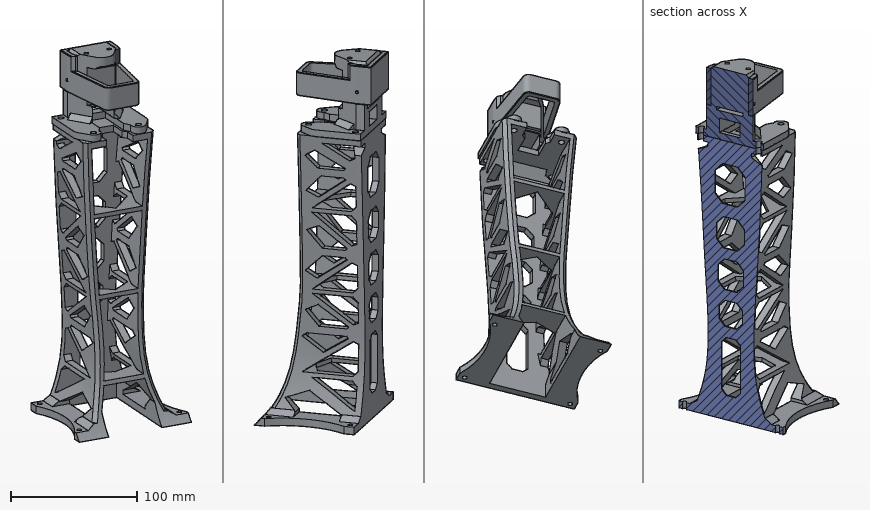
import cadquery as cq
import math


TOWER_TOP = 238.7
TOWER_FRONT = 54.0
FRONT_CURVE_TOP = 155.8
TOE_FRONT = 83.3
LEAN = 1.2
TOP_HALF = 31.5
WAIST_HEIGHT = 66.0
SIDE_CURVE = ((27.5, 25.5), (24.3, 39.8), (22.2, WAIST_HEIGHT), (22.8, 92.3), (24.5, 119.8), (28.2, 179.7))
FLOOR_HALF = 37.5
FOOT_HALF = 33.0
FOOT_HEIGHT = 10.2
RAMP_HALF = 39.2
SIDE_WALL = 6.5
REAR_WALL = 5.5
TOP_WALL = 5.5
CORNER_CHAMFER = 3.0
GUSSET_FRONT = 12.5
GUSSET_BOTTOM = 225.5
ARCH_HALF = 23.7
ARCH_HEIGHT = 17.5

BASE_THICKNESS = 6.3
BASE_HALF = 50.0
BASE_WAIST_HALF = 41.0
BASE_ARC_REAR = 8.5
BASE_ARC_FRONT = 74.5
FOOT_HOLE_RADIUS = 1.8
FOOT_HOLE_X = (4.8, 72.8)
FOOT_HOLE_Y = 44.5

WEB_BOTTOMS = (36.2, 105.5, 174.0)
WEB_THICKNESS = 3.5
WEB_NOTCH_TIP = 48.2
WEB_NOTCH_SLOPES = (0.4, 0.7, 1.0)
TOP_SLOT_HALF = 8.7
TOP_SLOT_REAR = 26.0
TOP_SLOT_FLARE_X = 41.3
TOP_SLOT_FLARE = 3.0

PLATE_THICKNESS = 5.7
PLATE_TOP = TOWER_TOP + PLATE_THICKNESS
PLATE_HALF = 32.6
PLATE_CORNER_X = 36.8
PLATE_ARM_HALF = 10.8
PLATE_GAP_REAR = 8.5
PLATE_SCREW_RADIUS = 2.5
REAR_SCREW = (5.7, 27.5)
FRONT_SCREW = (47.3, 20.0)
EAR_RADIUS = 6.0
POST_HALF = 22.5
POST_TURN_X = 7.2
POST_FRONT = 21.5
HEEL_FRONT = 25.8
HEEL_TOP = 257.5
SKIRT_START = 2.7
SKIRT_HEIGHT = 4.2
SKIRT_REACH = 4.8
WINDOW_HALF = 9.5
WINDOW_TOP = 256.5
SLOT_HALF = 12.3
SLOT_BOTTOM = 263.3
SLOT_RECESS_HALF = 14.7
SLOT_RECESS_BOTTOM = 260.3
SLOT_RECESS_DEPTH = 3.0
CAP_TOP = 299.5
CAP_THICKNESS = 10.2
CAP_TIP_THICKNESS = 7.8
CAP_BEVEL_REAR = 27.3
CAP_BEVEL_FRONT = 30.3
CAP_NOSE_FRONT = 31.8
CAP_NOSE_HALF = 9.3
CAP_NOSE_X = 26.0
CAP_CHAMFER = 2.5
SCREW_RADIUS = 1.8
CAP_SCREW = (16.2, 10.2)
CAP_SCREW_DEPTH = 6.0

COLLAR_REAR = -5.5
COLLAR_FRONT = 60.2
COLLAR_HALF = POST_HALF
COLLAR_TAPER_X = POST_TURN_X
COLLAR_END_HALF = 15.0
COLLAR_CORNER = 4.8
COLLAR_WALL = 4.2
COLLAR_BOTTOM = 265.7
LOOP_TOP = 285.2
COLLAR_TOP = 297.5
COLLAR_BOX_FRONT = 14.7
COLLAR_CHAMFER = 0.5
BOX_END_CHAMFER = 2.5
PIN_X = 6.3
PIN_Z = 275.5
PIN_RADIUS = 1.2

FAR = 179.7


def lean_at(z):
    """Sideways shift of the tower's centre line at height z."""
    return LEAN * max(0, z - WAIST_HEIGHT) / (TOWER_TOP - WAIST_HEIGHT)


def box(x0, x1, y0, y1, z0, z1):
    return cq.Workplane("XY").box(x1 - x0, y1 - y0, z1 - z0, centered=False).translate((x0, y0, z0))


def octagon(half, low, high):
    """Points of a rectangle with clipped corners, centred on 0 across."""
    clip = half / 2
    return [
        (half, low + clip), (half, high - clip), (half - clip, high), (clip - half, high),
        (-half, high - clip), (-half, low + clip), (clip - half, low), (half - clip, low),
    ]


def waisted_body(bottom_points, inset, top):
    """Waisted outline, `inset` inside the outer sides, extruded along X.

    `bottom_points` are (half width, height) pairs from the floor up to where the curve starts.
    """
    top_half = TOP_HALF - inset

    def side(sign):
        curve = [(sign * (half - inset), z) for half, z in SIDE_CURVE]
        low = [(sign * half, z) for half, z in bottom_points]
        return low, curve, (LEAN + sign * top_half, top)

    low, curve, corner = side(1)
    outline = cq.Workplane("YZ").polyline(low) if len(low) > 1 else cq.Workplane("YZ").moveTo(*low[0])
    outline = outline.spline(curve + [corner], includeCurrent=True)
    low, curve, corner = side(-1)
    outline = outline.lineTo(*corner).spline(curve[::-1] + [low[-1]], includeCurrent=True)
    for point in low[-2::-1]:
        outline = outline.lineTo(*point)
    return outline.close().extrude(FAR)


def front_envelope():
    """Everything behind the flared front surface."""
    return (
        cq.Workplane("XZ").moveTo(0, 0).lineTo(TOE_FRONT, 0)
        .spline([(67.7, 25.5), (60.8, 52.7), (56.3, 88.7), (TOWER_FRONT, FRONT_CURVE_TOP)],
                tangents=[(-1, 1), (0, 1)], includeCurrent=True)
        .lineTo(TOWER_FRONT, TOWER_TOP).lineTo(0, TOWER_TOP).close()
        .extrude(FAR / 2, both=True)
    )


def base_slab():
    middle = (BASE_ARC_REAR + BASE_ARC_FRONT) / 2
    return (
        cq.Workplane("XY").moveTo(0, -BASE_HALF).lineTo(BASE_ARC_REAR, -BASE_HALF)
        .threePointArc((middle, -BASE_WAIST_HALF), (BASE_ARC_FRONT, -BASE_HALF))
        .lineTo(FAR, -BASE_HALF).lineTo(FAR, BASE_HALF).lineTo(BASE_ARC_FRONT, BASE_HALF)
        .threePointArc((middle, BASE_WAIST_HALF), (BASE_ARC_REAR, BASE_HALF))
        .lineTo(0, BASE_HALF).close()
        .extrude(BASE_THICKNESS)
    )


def foot_ramps():
    """Sloped strips that widen the tower where it meets the base."""
    return (
        cq.Workplane("YZ")
        .polyline([
            (-RAMP_HALF, 0), (RAMP_HALF, 0), (RAMP_HALF, BASE_THICKNESS), (FOOT_HALF, FOOT_HEIGHT),
            (-FOOT_HALF, FOOT_HEIGHT), (-RAMP_HALF, BASE_THICKNESS),
        ])
        .close().extrude(FAR)
    )


def top_slot():
    """Slot through the top, open to the front and wider at its mouth."""
    mouth = TOP_SLOT_HALF + TOP_SLOT_FLARE
    flare_end = TOP_SLOT_FLARE_X + TOP_SLOT_FLARE
    return (
        cq.Workplane("XY", origin=(0, LEAN, TOWER_TOP - TOP_WALL))
        .polyline([
            (TOP_SLOT_REAR, -TOP_SLOT_HALF), (TOP_SLOT_FLARE_X, -TOP_SLOT_HALF), (flare_end, -mouth),
            (FAR, -mouth), (FAR, mouth), (flare_end, mouth), (TOP_SLOT_FLARE_X, TOP_SLOT_HALF),
            (TOP_SLOT_REAR, TOP_SLOT_HALF),
        ])
        .close().extrude(TOP_WALL)
    )


def rear_truss_opening(web_z, tip_x, far_z, rear_far_z):
    """Triangle resting on a web, with its corners at the rear wall clipped."""
    way = math.copysign(1, far_z - web_z)
    clip = 4.2
    return [
        (REAR_WALL + clip, web_z), (tip_x, web_z), (REAR_WALL + clip, far_z),
        (REAR_WALL, rear_far_z), (REAR_WALL, web_z + way * clip),
    ]


def front_truss_opening(flat_z, flat_end, front, apex):
    """Kite with one level side between two struts."""
    way = math.copysign(3, apex[1] - flat_z)
    return [(15.3, flat_z), (flat_end, flat_z), front, apex, (13.8, flat_z + way * 0.6)]


def truss_openings():
    low_web, middle_web, high_web = WEB_BOTTOMS
    outlines = [
        rear_truss_opening(low_web, 43.5, 15.5, 13.5),
        rear_truss_opening(low_web + WEB_THICKNESS, 51.5, 68.0, 66.2),
        rear_truss_opening(middle_web, 43.5, 82.0, 84.0),
        rear_truss_opening(middle_web + WEB_THICKNESS, 43.0, 134.2, 132.5),
        rear_truss_opening(high_web, 42.5, 148.5, 150.5),
        rear_truss_opening(high_web + WEB_THICKNESS, 42.0, 201.0, 199.2),
        front_truss_opening(72.0, 48.0, (52.5, 69.0), (34.5, 57.0)),
        front_truss_opening(78.2, 38.3, (49.5, 91.0), (39.0, 96.5)),
        front_truss_opening(138.0, 34.0, (48.8, 124.3), (39.0, 118.5)),
        front_truss_opening(144.5, 34.0, (47.0, 158.8), (36.5, 163.2)),
        front_truss_opening(205.5, 34.0, (47.0, 192.0), (36.5, 187.2)),
        front_truss_opening(211.8, 36.5, (47.0, 221.7), (39.0, 226.8)),
    ]
    ceiling = TOWER_TOP - TOP_WALL
    outlines.append([
        (GUSSET_FRONT, ceiling), (32.6, ceiling), (10.0, 220.5), (REAR_WALL, 223.0), (REAR_WALL, GUSSET_BOTTOM),
    ])
    outlines.append([
        (16.0, BASE_THICKNESS), (54.2, BASE_THICKNESS), (54.2, 9.0), (64.0, 19.0), (44.5, 26.0), (16.0, 9.5),
    ])
    return outlines


def make_web(bottom, notch_slope):
    """Level plate at the front of the cavity with a V-shaped notch reaching back to the side walls."""
    wide = TOP_HALF
    notch_rear = WEB_NOTCH_TIP - wide * notch_slope
    return (
        cq.Workplane("XY", origin=(0, lean_at(bottom), bottom))
        .polyline([(notch_rear, -wide), (FAR, -wide), (FAR, wide), (notch_rear, wide), (WEB_NOTCH_TIP, 0)])
        .close().extrude(WEB_THICKNESS)
    )


def top_gusset():
    """Sloped fill in the corner between the rear wall and the top."""
    ceiling = TOWER_TOP - TOP_WALL
    return (
        cq.Workplane("XZ")
        .polyline([(REAR_WALL, GUSSET_BOTTOM), (GUSSET_FRONT, ceiling), (REAR_WALL, ceiling)])
        .close().extrude(FAR / 2, both=True)
    )


def nut_pocket(side):
    """Recess below a rear screw, open to the rear and to the side, with a sloping floor."""
    ceiling = TOWER_TOP - TOP_WALL
    inner = 21.0
    outer = 36.0
    return (
        cq.Workplane("YZ")
        .polyline([
            (LEAN + side * inner, ceiling), (LEAN + side * outer, ceiling),
            (LEAN + side * outer, 223.2), (LEAN + side * inner, 230.0),
        ])
        .close().extrude(GUSSET_FRONT)
    )


def plate_screws(bottom, top):
    spots = [(x, LEAN + side * y) for x, y in (REAR_SCREW, FRONT_SCREW) for side in (-1, 1)]
    return cq.Workplane("XY", origin=(0, 0, bottom)).pushPoints(spots).circle(PLATE_SCREW_RADIUS).extrude(top - bottom)


def make_tower():
    shell = waisted_body([(FLOOR_HALF, 0)], 0, TOWER_TOP).intersect(front_envelope())
    front_corners = cq.selectors.BoxSelector((TOWER_FRONT - 1.5, -FAR, 3), (FAR, FAR, TOWER_TOP - 1.5))
    shell = shell.edges(front_corners).edges("not(#Z)").chamfer(CORNER_CHAMFER)
    shell = shell.union(foot_ramps().intersect(front_envelope()))
    tower = shell.union(base_slab().intersect(front_envelope()))

    cavity_top = TOWER_TOP - TOP_WALL
    cavity = waisted_body([(ARCH_HALF, 0), (ARCH_HALF, ARCH_HEIGHT)], SIDE_WALL, cavity_top)
    cavity = cavity.intersect(box(REAR_WALL, FAR, -FAR, FAR, 0, cavity_top))
    tower = tower.cut(cavity)

    for outline in truss_openings():
        tower = tower.cut(cq.Workplane("XZ").polyline(outline).close().extrude(FAR / 2, both=True))

    for bottom, notch_slope in zip(WEB_BOTTOMS, WEB_NOTCH_SLOPES):
        tower = tower.union(make_web(bottom, notch_slope).intersect(cavity).intersect(front_envelope()))
    tower = tower.union(top_gusset().intersect(cavity))

    for half, low, high in (
        (9.0, 21.3, 70.5), (11.0, 80.0, 101.8), (12.0, 111.5, 137.2), (13.2, 146.8, 173.0), (14.0, 184.5, 218.5),
    ):
        centre = lean_at((low + high) / 2)
        tower = tower.cut(
            cq.Workplane("YZ", origin=(0, centre, 0)).polyline(octagon(half, low, high)).close()
            .extrude(REAR_WALL))

    for side in (-1, 1):
        tower = tower.cut(nut_pocket(side))
    tower = tower.cut(top_slot())
    tower = tower.cut(plate_screws(cavity_top, TOWER_TOP))
    foot_holes = [(x, side * FOOT_HOLE_Y) for x in FOOT_HOLE_X for side in (-1, 1)]
    return tower.cut(
        cq.Workplane("XY").pushPoints(foot_holes).circle(FOOT_HOLE_RADIUS).extrude(BASE_THICKNESS))


def collar_outline(inset):
    """Box at the rear whose sides converge to a rounded front end."""
    sketch = (
        cq.Workplane("XY", origin=(0, LEAN, 0))
        .polyline([
            (COLLAR_REAR, -COLLAR_HALF), (COLLAR_TAPER_X, -COLLAR_HALF), (COLLAR_FRONT, -COLLAR_END_HALF),
            (COLLAR_FRONT, COLLAR_END_HALF), (COLLAR_TAPER_X, COLLAR_HALF), (COLLAR_REAR, COLLAR_HALF),
        ])
        .close()
    )
    return sketch.offset2D(-inset) if inset else sketch


def collar_prism(inset, bottom, top):
    prism = collar_outline(inset).extrude(top - bottom).translate((0, 0, bottom))
    return prism.edges("|Z and >X").fillet(COLLAR_CORNER - inset / 2)


def bracket_plate():
    """U-shaped plate whose two arms end in round ears about the front screws."""
    screw_x, screw_y = FRONT_SCREW
    tip = screw_x + EAR_RADIUS
    slant = EAR_RADIUS * math.sqrt(0.5)
    outer_end = (screw_x + slant, screw_y + slant)
    inner_end = (screw_x - 1.8, screw_y - EAR_RADIUS)
    arm_end = (PLATE_CORNER_X + 3, PLATE_ARM_HALF)

    def arm(sign):
        return (
            cq.Workplane("XY", origin=(0, LEAN, TOWER_TOP)).moveTo(0, 0).lineTo(0, sign * PLATE_HALF)
            .lineTo(PLATE_CORNER_X, sign * PLATE_HALF)
            .tangentArcPoint((PLATE_CORNER_X + 7.2, sign * (PLATE_HALF - 3.0)), relative=False)
            .lineTo(outer_end[0], sign * outer_end[1])
            .threePointArc((tip, sign * screw_y), (inner_end[0], sign * inner_end[1]))
            .lineTo(arm_end[0], sign * arm_end[1])
            .lineTo(PLATE_GAP_REAR, sign * PLATE_ARM_HALF)
            .lineTo(PLATE_GAP_REAR, 0).close().extrude(PLATE_THICKNESS)
        )

    return arm(1).union(arm(-1))


def post_prism(rear, front, bottom, top):
    """Part of the post between two heights, clipped between two X positions."""
    prism = (
        cq.Workplane("XY", origin=(0, LEAN, bottom))
        .moveTo(COLLAR_REAR, -POST_HALF).lineTo(POST_TURN_X, -POST_HALF).lineTo(CAP_NOSE_X, -CAP_NOSE_HALF)
        .threePointArc((CAP_NOSE_FRONT, 0), (CAP_NOSE_X, CAP_NOSE_HALF))
        .lineTo(POST_TURN_X, POST_HALF).lineTo(COLLAR_REAR, POST_HALF).close()
        .extrude(top - bottom)
    )
    return prism.intersect(box(rear, front, -FAR, FAR, bottom, top))


def post_skirt(side):
    """Sloped wedge along the foot of one slanted side of the post."""
    run = CAP_NOSE_X - POST_TURN_X
    fall = POST_HALF - CAP_NOSE_HALF
    length = math.hypot(run, fall)
    along = cq.Vector(run / length, -side * fall / length, 0)
    outward = cq.Vector(fall / length, side * run / length, 0)
    start = cq.Vector(POST_TURN_X, LEAN + side * POST_HALF, PLATE_TOP) + along * SKIRT_START
    profile = cq.Plane(origin=start, xDir=outward, normal=along)
    rise = SKIRT_HEIGHT * profile.yDir.z
    return (
        cq.Workplane(profile).polyline([(-3, 0), (SKIRT_REACH, 0), (0, rise), (-3, rise)]).close()
        .extrude(length * (HEEL_FRONT - POST_TURN_X) / run - SKIRT_START)
    )


def make_bracket():
    bracket = bracket_plate()
    bracket = bracket.union(post_prism(0, HEEL_FRONT, PLATE_TOP, HEEL_TOP))
    bracket = bracket.union(post_prism(0, POST_FRONT, HEEL_TOP, COLLAR_BOTTOM))
    for side in (-1, 1):
        bracket = bracket.union(post_skirt(side))
    bracket = bracket.union(post_head())
    return bracket.cut(bracket_openings())


def post_head():
    """Upper post, fitting inside the collar, with a cap whose nose overhangs to the front."""
    rear = COLLAR_REAR + COLLAR_WALL
    cap_bottom = CAP_TOP - CAP_THICKNESS
    head = post_prism(rear, FAR, COLLAR_BOTTOM, CAP_TOP)
    head = head.intersect(collar_prism(COLLAR_WALL, COLLAR_BOTTOM, CAP_TOP))
    head = head.faces(">Z").edges("<X or <Y or >Y").chamfer(CAP_CHAMFER)
    side_profile = (
        cq.Workplane("XZ")
        .polyline([
            (rear, COLLAR_BOTTOM), (POST_FRONT, COLLAR_BOTTOM), (POST_FRONT, cap_bottom),
            (CAP_BEVEL_REAR, cap_bottom), (CAP_BEVEL_FRONT, CAP_TOP - CAP_TIP_THICKNESS),
            (FAR, CAP_TOP - CAP_TIP_THICKNESS), (FAR, CAP_TOP), (rear, CAP_TOP),
        ])
        .close().extrude(FAR / 2, both=True)
    )
    return head.intersect(side_profile)


def bracket_openings():
    window = box(0, FAR, LEAN - WINDOW_HALF, LEAN + WINDOW_HALF, PLATE_TOP, WINDOW_TOP)
    slot = box(0, FAR, LEAN - SLOT_HALF, LEAN + SLOT_HALF, SLOT_BOTTOM, COLLAR_BOTTOM)
    recess = box(0, SLOT_RECESS_DEPTH, LEAN - SLOT_RECESS_HALF, LEAN + SLOT_RECESS_HALF,
                 SLOT_RECESS_BOTTOM, COLLAR_BOTTOM)
    cap_screws = (
        cq.Workplane("XY", origin=(0, LEAN, CAP_TOP - CAP_SCREW_DEPTH))
        .pushPoints([(CAP_SCREW[0], side * CAP_SCREW[1]) for side in (-1, 1)])
        .circle(SCREW_RADIUS).extrude(CAP_SCREW_DEPTH)
    )
    return window.union(slot).union(recess).union(cap_screws).union(plate_screws(TOWER_TOP, PLATE_TOP))


def make_collar():
    outer = collar_prism(0, COLLAR_BOTTOM, LOOP_TOP).faces("<Z or >Z").edges().chamfer(COLLAR_CHAMFER)
    tall = collar_prism(0, COLLAR_BOTTOM, COLLAR_TOP).faces("<Z or >Z").edges().chamfer(COLLAR_CHAMFER)
    tall = tall.intersect(box(-FAR, COLLAR_BOX_FRONT, -FAR, FAR, COLLAR_BOTTOM, COLLAR_TOP))
    tall = tall.edges("|Z and >X").chamfer(BOX_END_CHAMFER)
    collar = outer.union(tall).cut(collar_prism(COLLAR_WALL, COLLAR_BOTTOM, COLLAR_TOP))
    for side in (-1, 1):
        pin = cq.Workplane("XZ", origin=(PIN_X, LEAN + side * COLLAR_HALF, PIN_Z)).circle(PIN_RADIUS)
        collar = collar.cut(pin.extrude(side * COLLAR_WALL))
    return collar


tower = make_tower()
bracket = make_bracket()
collar = make_collar()
result = cq.Compound.makeCompound([tower.val(), bracket.val(), collar.val()])